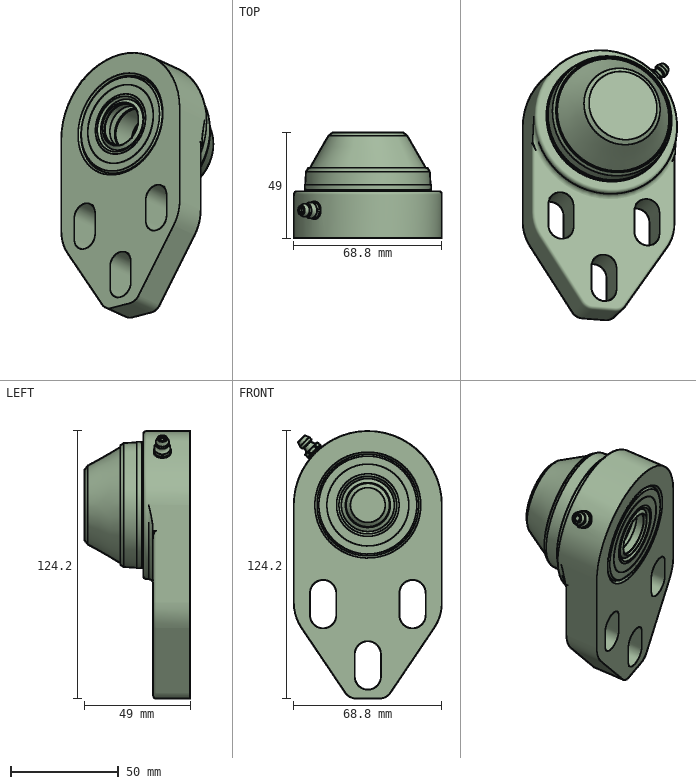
import cadquery as cq
import math


HEAD_RADIUS = 34.4
TOTAL_HEIGHT = 124.2
TOE_Z = HEAD_RADIUS - TOTAL_HEIGHT
TOE_HALF_WIDTH = 8.7
SHOULDER_Z = -51.7
SHOULDER_RADIUS = 20.9
TOE_RADIUS = 6.1

PLATE_THICKNESS = 17.3
PLATE_EDGE_RADIUS = 1.5
HEAD_THICKNESS = 21.9
HEAD_EDGE_RADIUS = 1.6
FLARE_RADIUS = 2.0
SPIGOT_RADIUS = 29.4
SPIGOT_END_Y = 24.7
SPIGOT_NECK_RADIUS = 28.8
SPIGOT_NECK_WIDTH = 0.6

SLOT_WIDTH = 12.0
SLOT_LENGTH = 22.4
SLOT_CENTRES = [(-20.7, -46.0), (20.7, -46.0), (0.0, -74.4)]

SEAT_RADIUS = 23.6
SEAT_CHAMFER = 1.0
BEARING_CHAMFER = 0.9
SEAL_OUTER_RADIUS = 19.0
SEAL_INNER_RADIUS = 14.5
SEAL_RECESS = 0.1
GROOVE_OUTER_RADIUS = 13.4
GROOVE_FLOOR_RADIUS = 12.3
GROOVE_DEPTH = 1.1
LIP_RADIUS = 10.4
LIP_END_Y = 1.5

BORE_RADIUS = 10.0
BORE_CHAMFER = LIP_RADIUS - BORE_RADIUS
RELIEF_RADIUS = 15.6
RELIEF_START_Y = 5.2
RELIEF_END_Y = 9.5
BORE_FLOOR_Y = 19.9
BORE_FLOOR_RADIUS = 8.1

CAP_BASE_RADIUS = 29.2
CAP_RIM_RADIUS = 28.8
CAP_RIM_Y = 30.8
CAP_RIM_CORNER_RADIUS = 27.7
CAP_CONE_Y = 32.5
CAP_CONE_BASE_RADIUS = 27.0
CAP_CONE_TIP_RADIUS = 18.4
CAP_CONE_TIP_Y = 47.5
CAP_END_RADIUS = 16.4
CAP_END_Y = 49.0

NIPPLE_Y = 12.9
NIPPLE_TILT = 45.0
SHANK_RADIUS = 3.2
SHANK_DEPTH = 4.6
COLLAR_RADIUS = 4.1
COLLAR_BASE = 34.9
HEX_BASE = 35.4
HEX_TOP = 37.1
HEX_ACROSS_FLATS = 7.5
NIPPLE_NECK_RADIUS = 2.4
NIPPLE_NECK_MID_RADIUS = 2.6
NIPPLE_NECK_MID = 38.1
NIPPLE_NECK_TOP = 39.6
NIPPLE_HEAD_RADIUS = 3.1
NIPPLE_HEAD_BASE = 40.0
NIPPLE_HEAD_TOP = 41.5
NIPPLE_TIP = 43.6
NIPPLE_TIP_RADIUS = 2.2
GREASE_HOLE_RADIUS = 1.4
GREASE_HOLE_DEPTH = 1.2


def extrude_from_mounting_face(sketch, depth):
    """Extrude an XZ sketch from y = 0 towards +Y."""
    return sketch.extrude(-depth)


def revolve_about_bearing_axis(profile):
    """Revolve a closed profile of (radius, y) points about the Y axis."""
    return cq.Workplane("XY").polyline(profile).close().revolve(360, (0, 0, 0), (0, 1, 0))


def outline_prism(depth):
    """Housing outline: half-round head tapering to a narrow toe, with rounded corners."""
    sketch = (
        cq.Workplane("XZ")
        .moveTo(-HEAD_RADIUS, 0)
        .threePointArc((0, HEAD_RADIUS), (HEAD_RADIUS, 0))
        .lineTo(HEAD_RADIUS, SHOULDER_Z)
        .lineTo(TOE_HALF_WIDTH, TOE_Z)
        .lineTo(-TOE_HALF_WIDTH, TOE_Z)
        .lineTo(-HEAD_RADIUS, SHOULDER_Z)
        .close()
    )
    prism = extrude_from_mounting_face(sketch, depth)
    middle_y = depth / 2
    for side in (-1, 1):
        shoulder = cq.NearestToPointSelector((side * HEAD_RADIUS, middle_y, SHOULDER_Z))
        prism = prism.edges("|Y").edges(shoulder).fillet(SHOULDER_RADIUS)
        toe = cq.NearestToPointSelector((side * TOE_HALF_WIDTH, middle_y, TOE_Z))
        prism = prism.edges("|Y").edges(toe).fillet(TOE_RADIUS)
    return prism


def lower_half(shape):
    """Keep the part of a shape that lies below the bearing axis."""
    size = 4 * HEAD_RADIUS
    half_space = cq.Workplane("XY").box(size, size, TOTAL_HEIGHT).translate((0, 0, -TOTAL_HEIGHT / 2))
    return shape.intersect(half_space)


def make_plate():
    """Foot of the housing, rounded along its rear edge."""
    return lower_half(outline_prism(PLATE_THICKNESS).faces(">Y").edges().fillet(PLATE_EDGE_RADIUS))


def head_flare():
    """Concave flare where the round head rises from the plate, trimmed to the outline."""
    flare_top_y = PLATE_THICKNESS + FLARE_RADIUS
    flare_rim = HEAD_RADIUS + FLARE_RADIUS
    mid_offset = FLARE_RADIUS * (1 - math.sqrt(0.5))
    flare = (
        cq.Workplane("XY")
        .lineTo(flare_rim, 0)
        .lineTo(flare_rim, PLATE_THICKNESS)
        .threePointArc(
            (HEAD_RADIUS + mid_offset, PLATE_THICKNESS + mid_offset),
            (HEAD_RADIUS, flare_top_y),
        )
        .lineTo(0, flare_top_y)
        .close()
        .revolve(360, (0, 0, 0), (0, 1, 0))
    )
    return lower_half(flare.intersect(outline_prism(HEAD_THICKNESS)))


def place_nipple(shape):
    """Move a shape built along +Z onto the nipple axis."""
    return shape.rotate((0, 0, 0), (0, 1, 0), -NIPPLE_TILT).translate((0, NIPPLE_Y, 0))


def nipple_shank():
    base = COLLAR_BASE - SHANK_DEPTH
    return cq.Workplane("XY").workplane(offset=base).circle(SHANK_RADIUS).extrude(SHANK_DEPTH)


def make_housing():
    head = extrude_from_mounting_face(cq.Workplane("XZ").circle(HEAD_RADIUS), HEAD_THICKNESS)
    head = head.faces(">Y").edges().fillet(HEAD_EDGE_RADIUS)
    neck_end_y = HEAD_THICKNESS + SPIGOT_NECK_WIDTH
    spigot = revolve_about_bearing_axis([
        (0, 0),
        (SPIGOT_NECK_RADIUS, 0),
        (SPIGOT_NECK_RADIUS, neck_end_y),
        (SPIGOT_RADIUS, neck_end_y),
        (SPIGOT_RADIUS, SPIGOT_END_Y),
        (0, SPIGOT_END_Y),
    ])
    housing = make_plate().union(head).union(head_flare()).union(spigot)

    seat = revolve_about_bearing_axis([
        (0, 0),
        (SEAT_RADIUS + SEAT_CHAMFER, 0),
        (SEAT_RADIUS, SEAT_CHAMFER),
        (SEAT_RADIUS, SPIGOT_END_Y),
        (0, SPIGOT_END_Y),
    ])
    slots = extrude_from_mounting_face(
        cq.Workplane("XZ").pushPoints(SLOT_CENTRES).slot2D(SLOT_LENGTH, SLOT_WIDTH, 90),
        PLATE_THICKNESS,
    )
    return housing.cut(seat).cut(slots).cut(place_nipple(nipple_shank()))


def make_capped_bearing():
    """Bearing insert and its closed cap, revolved as one body."""
    front = [
        (LIP_RADIUS, 0),
        (GROOVE_FLOOR_RADIUS, GROOVE_DEPTH),
        (GROOVE_OUTER_RADIUS, 0),
        (SEAL_INNER_RADIUS, 0),
        (SEAL_INNER_RADIUS, SEAL_RECESS),
        (SEAL_OUTER_RADIUS, SEAL_RECESS),
        (SEAL_OUTER_RADIUS, 0),
        (SEAT_RADIUS - BEARING_CHAMFER, 0),
        (SEAT_RADIUS, BEARING_CHAMFER),
    ]
    cap = [
        (SEAT_RADIUS, SPIGOT_END_Y),
        (CAP_BASE_RADIUS, SPIGOT_END_Y),
        (CAP_RIM_RADIUS, CAP_RIM_Y),
        (CAP_RIM_CORNER_RADIUS, CAP_CONE_Y),
        (CAP_CONE_BASE_RADIUS, CAP_CONE_Y),
        (CAP_CONE_TIP_RADIUS, CAP_CONE_TIP_Y),
        (CAP_END_RADIUS, CAP_END_Y),
        (0, CAP_END_Y),
    ]
    bore = [
        (0, BORE_FLOOR_Y),
        (BORE_FLOOR_RADIUS, BORE_FLOOR_Y),
        (BORE_RADIUS, BORE_FLOOR_Y + BORE_RADIUS - BORE_FLOOR_RADIUS),
        (BORE_RADIUS, RELIEF_END_Y + BORE_CHAMFER),
        (LIP_RADIUS, RELIEF_END_Y),
        (RELIEF_RADIUS, RELIEF_END_Y),
        (RELIEF_RADIUS, RELIEF_START_Y),
        (BORE_RADIUS, RELIEF_START_Y),
        (BORE_RADIUS, LIP_END_Y),
        (LIP_RADIUS, LIP_END_Y),
    ]
    return revolve_about_bearing_axis(front + cap + bore)


def make_nipple():
    collar = (
        cq.Workplane("XY").workplane(offset=COLLAR_BASE)
        .circle(COLLAR_RADIUS).extrude(HEX_BASE - COLLAR_BASE)
    )
    hex_height = HEX_TOP - HEX_BASE
    across_corners = HEX_ACROSS_FLATS / math.cos(math.pi / 6)
    hexagon = cq.Workplane("XY").workplane(offset=HEX_BASE).polygon(6, across_corners).extrude(hex_height)
    trim = cq.Workplane("XY").workplane(offset=HEX_BASE).circle(COLLAR_RADIUS).extrude(hex_height)
    upper = (
        cq.Workplane("XZ")
        .moveTo(0, HEX_TOP)
        .lineTo(HEX_ACROSS_FLATS / 2, HEX_TOP)
        .threePointArc((NIPPLE_NECK_MID_RADIUS, NIPPLE_NECK_MID), (NIPPLE_NECK_RADIUS, NIPPLE_NECK_TOP))
        .lineTo(NIPPLE_HEAD_RADIUS, NIPPLE_HEAD_BASE)
        .lineTo(NIPPLE_HEAD_RADIUS, NIPPLE_HEAD_TOP)
        .lineTo(NIPPLE_TIP_RADIUS, NIPPLE_TIP)
        .lineTo(GREASE_HOLE_RADIUS, NIPPLE_TIP)
        .lineTo(GREASE_HOLE_RADIUS, NIPPLE_TIP - GREASE_HOLE_DEPTH)
        .lineTo(0, NIPPLE_TIP - GREASE_HOLE_DEPTH)
        .close()
        .revolve(360, (0, 0, 0), (0, 1, 0))
    )
    nipple = nipple_shank().union(collar).union(hexagon.intersect(trim)).union(upper)
    return place_nipple(nipple)


housing = make_housing()
capped_bearing = make_capped_bearing()
nipple = make_nipple()

result = cq.Compound.makeCompound([
    housing.solids().val(),
    capped_bearing.val(),
    nipple.solids().val(),
])